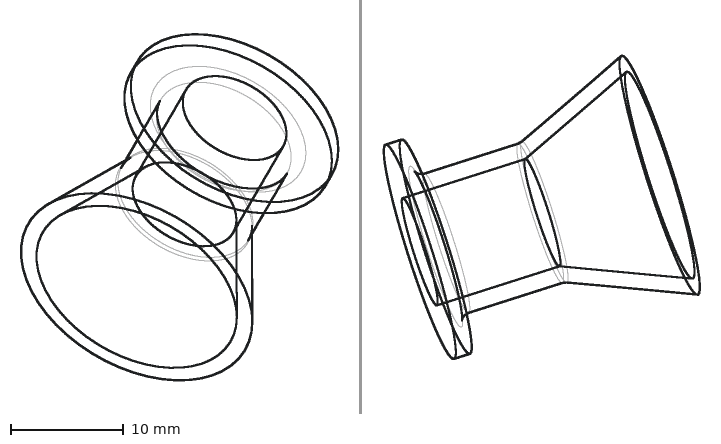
import cadquery as cq

total_length = 22.5
bore_radius = 5.0
wall = 1.5
flange_radius = 10.0
flange_thickness = 1.5
horn_length = 11.0
mouth_radius = 11.15
flange_fillet = 1.0
horn_blend = 1.0

tube_radius = bore_radius + wall
mouth_y = 0.0
throat_y = mouth_y + horn_length
flange_back_y = mouth_y + total_length
flange_front_y = flange_back_y - flange_thickness


def make_horn_body():
    """Revolve the half section (radius, Y) about the Y axis."""
    section = (
        cq.Workplane("XY")
        .moveTo(mouth_radius - wall, mouth_y)
        .lineTo(mouth_radius, mouth_y)
        .lineTo(tube_radius, throat_y)
        .lineTo(tube_radius, flange_front_y)
        .lineTo(flange_radius, flange_front_y)
        .lineTo(flange_radius, flange_back_y)
        .lineTo(bore_radius, flange_back_y)
        .lineTo(bore_radius, throat_y)
        .close()
    )
    return section.revolve(360, (0, 0, 0), (0, 1, 0))


def round_tube_end(body, end_y, radius):
    """Fillet the circular edge where the tube's outer surface ends at end_y."""
    margin = wall / 2
    reach = tube_radius + margin
    end_region = cq.selectors.BoxSelector(
        (-reach, end_y - margin, -reach),
        (reach, end_y + margin, reach),
        boundingbox=True,
    )
    largest_circle = cq.selectors.RadiusNthSelector(-1)
    return body.edges(end_region).edges(largest_circle).fillet(radius)


result = make_horn_body()
result = round_tube_end(result, flange_front_y, flange_fillet)
result = round_tube_end(result, throat_y, horn_blend)